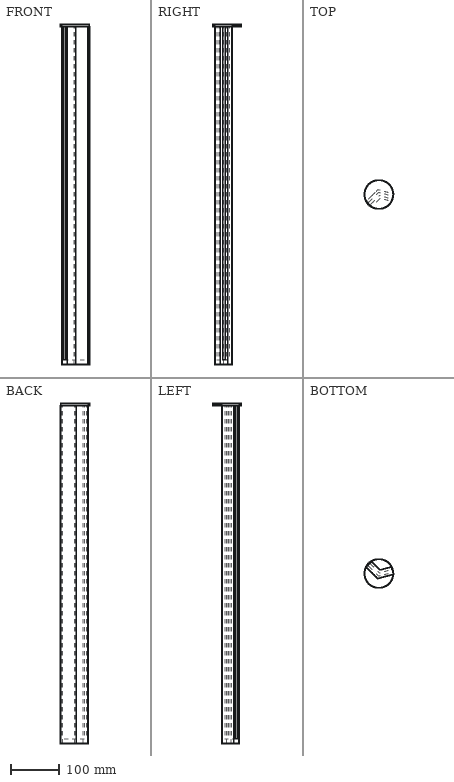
import cadquery as cq
import math

cap_diameter = 60.0
cap_thickness = 5.0

post_height = 700.0
arm_thickness = 16.0
inner_arm_length = 25.0
corner_x = -0.13
corner_y = 1.6
left_arm_angle = 225.0
right_arm_angle = 345.0

groove_width = 6.0
groove_floor_z = 10.0

half_opening = math.radians((right_arm_angle - left_arm_angle) / 2)
bisector_angle = (left_arm_angle + right_arm_angle) / 2
arm_length = inner_arm_length + arm_thickness / 2 / math.tan(half_opening)


def local_point(direction, along, across):
    """Point measured from the corner along a direction (degrees) and to the left of it."""
    angle = math.radians(direction)
    x = corner_x + along * math.cos(angle) - across * math.sin(angle)
    y = corner_y + along * math.sin(angle) + across * math.cos(angle)
    return (x, y)


def v_prism(thickness, bottom_z, top_z):
    """Upright V-section prism of the given thickness, centred on the arm centrelines."""
    half = thickness / 2
    miter = half / math.sin(half_opening)
    outline = [
        local_point(left_arm_angle, arm_length, -half),
        local_point(left_arm_angle, arm_length, half),
        local_point(bisector_angle, miter, 0),
        local_point(right_arm_angle, arm_length, -half),
        local_point(right_arm_angle, arm_length, half),
        local_point(bisector_angle, -miter, 0),
    ]
    base = cq.Workplane("XY").workplane(offset=bottom_z)
    return base.polyline(outline).close().extrude(top_z - bottom_z)


def round_cap():
    """Disc that closes the top of the post."""
    base = cq.Workplane("XY").workplane(offset=post_height)
    return base.circle(cap_diameter / 2).extrude(cap_thickness)


post = v_prism(arm_thickness, 0, post_height)
groove = v_prism(groove_width, groove_floor_z, post_height)
result = post.cut(groove).union(round_cap())